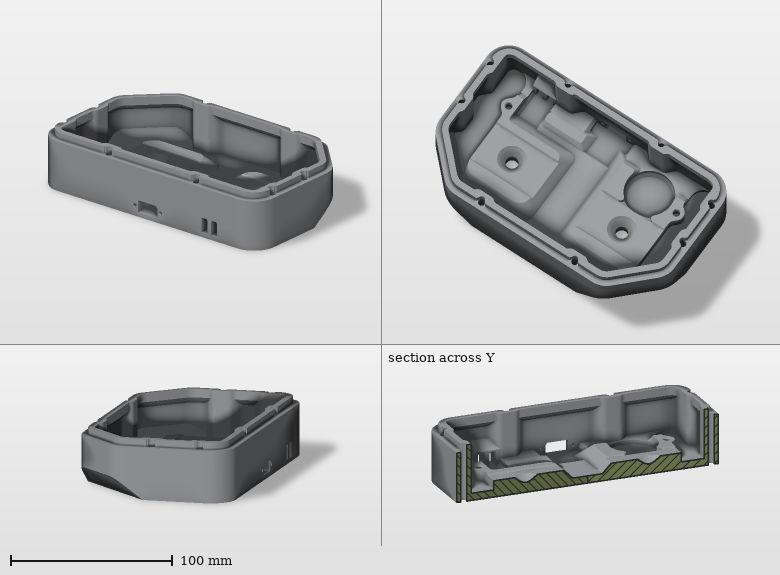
import cadquery as cq
import math

LENGTH = 176.0
WIDTH = 104.0
HEIGHT = 37.4
LIP_HEIGHT = 4.4
LEDGE_Z = HEIGHT - LIP_HEIGHT
CORNER_CUT = 30.0
CORNER_RADIUS = 16.0
WALL = 4.0
LIP_INSET = 2 * WALL
LIP_FACE_Z = 32.0
BEVEL = 13.3

LOW_Z = 3.0
FLOOR_Z = 5.0
SHELF_Z = 7.8
BLOCK_Z = 8.0
RECESS_Z = 11.0
PAD_Z = 12.0

SCREW_DIAMETER = 4.4
SCREW_INSET = 5.0
SCREW_X = 35.0
SCREW_SIDE_Y = (-1.0, -32.0)
BOSS_INSET = 10.0
BOSS_HALF_WIDTH = 5.5
BOSS_RADIUS = 4.0
LIP_BOSS_ROOT_RADIUS = 2.7
SIDE_CORNER_RADIUS = 4.5
NOTCH_RADIUS = 1.0

PAD_INNER_X = 17.0
PAD_OUTER_X = 63.0
PAD_REAR_Y = 28.0
PAD_FRONT_Y = -32.0
SHORT_PAD_FRONT_Y = -15.0
PAD_REAR_INNER_RADIUS = 12.0
PAD_CORNER_RADIUS = 8.0
EDGE_RADIUS = 2.0
RECESS_REAR_Y = 19.0
RECESS_FRONT_Y = -9.0
SHELF_REAR_Y = PAD_FRONT_Y - (PAD_Z - SHELF_Z)
SHELF_WALL_RADIUS = 9.0

MOUNT_X = 41.25
MOUNT_Y = 5.0
MOUNT_DIAMETER = 8.0
MOUNT_SINK_DIAMETER = 18.3

INSERT_X = PAD_OUTER_X
INSERT_Y = -23.0
INSERT_BOSS_RADIUS = 5.0
INSERT_DIAMETER = 4.4
INSERT_SINK_DIAMETER = 5.4
INSERT_DEPTH = 6.0

ROUND_Y = -25.0
ROUND_DIAMETER = 32.0

CHANNEL_HALF_WIDTH = 14.0
CHANNEL_CHAMFER = 2.0
CHANNEL_REAR_Y = -28.0
CONNECTOR_WIDTH = 15.5
CONNECTOR_HEIGHT = 8.0
CONNECTOR_CHAMFER = 1.3
CONNECTOR_SCREW_DIAMETER = 2.6
CONNECTOR_SCREW_X = 10.2
BLOCK_INNER_X = 13.0
BLOCK_REAR_Y = -29.0
BLOCK_FRONT_Y = -36.0

SOCKET_X = (41.0, 58.0)
SOCKET_FRONT_Y = -42.0
SLOT_WIDTH = 5.0
SLOT_X = (45.5, 53.2)
SLOT_TOP_Z = 13.0
SLOT_CHAMFER = 1.0
LINTEL_Z = 14.0

HALF_L = LENGTH / 2
HALF_W = WIDTH / 2
FRONT_WALL_Y = -HALF_W + WALL


REAR_INNER_EDGE = (-1, 1, -1)
REAR_OUTER_EDGE = (0, 1, -1)
FRONT_INNER_EDGE = (1, 1, 1)
FRONT_OUTER_EDGE = (0, 1, 1)


def outline(inset, z):
    """Sketch of the housing outline moved inward by inset, at height z."""
    x = HALF_L - inset
    y = HALF_W - inset
    cut = CORNER_CUT - inset * (2 - math.sqrt(2))
    points = [(-x, -y), (x, -y), (x, y - cut), (x - cut, y), (-x + cut, y), (-x, y - cut), (-x, -y)]
    sketch = cq.Sketch().polygon(points).vertices().fillet(CORNER_RADIUS - inset)
    return cq.Workplane("XY").workplane(offset=z).placeSketch(sketch)


def prism_x(points, x0, x1):
    """Y-Z profile carried from x0 to x1."""
    return cq.Workplane("YZ").workplane(offset=x0).polyline(points).close().extrude(x1 - x0)


def prism_y(points, y0, y1):
    """X-Z profile carried from y0 to y1."""
    return cq.Workplane("XZ").workplane(offset=-y1).polyline(points).close().extrude(y1 - y0)


def box(x0, x1, y0, y1, z0, z1):
    return cq.Workplane("XY").box(x1 - x0, y1 - y0, z1 - z0, centered=False).translate((x0, y0, z0))


def cylinder(x, y, z0, z1, diameter):
    return cq.Workplane("XY").workplane(offset=z0).center(x, y).circle(diameter / 2).extrude(z1 - z0)


def cone(x, y, z0, d0, z1, d1):
    solid = cq.Solid.makeCone(d0 / 2, d1 / 2, z1 - z0, cq.Vector(x, y, z0))
    return cq.Workplane("XY").add(solid)


def box_selector(x0, x1, y0, y1):
    """Picks the edges with their middle in this range of X and Y."""
    slack = 0.1
    return cq.selectors.BoxSelector(
        (x0 - slack, y0 - slack, -HEIGHT), (x1 + slack, y1 + slack, 2 * HEIGHT)
    )


def mirrored(shape):
    return shape.mirror("YZ")


def oblique(shape, direction, radius):
    """Round the edges that run along direction."""
    return shape.edges(cq.selectors.ParallelDirSelector(cq.Vector(*direction))).fillet(radius)


def corner_wedge(start):
    """Everything under both 45 degree planes that rise outward toward the rear corners.

    start is how far from the middle a plane leaves z = 0, along the diagonal.
    """
    plane = cq.Plane(origin=(0, 0, 0), xDir=(-1, 1, 0), normal=(1, 1, 0))
    wedge = (
        cq.Workplane(plane).polyline([(start, 0), (start + WIDTH, WIDTH), (start + WIDTH, 0)])
        .close().extrude(HALF_L, both=True)
    )
    return wedge.union(mirrored(wedge))


def round_corners(prism, corners, radius):
    """Round the upright edges of a prism at these (x, y) corners."""
    for x, y in corners:
        prism = prism.edges("|Z").edges(box_selector(x, x, y, y)).fillet(radius)
    return prism


def screw_boss(root_inset, root_radius, z0, corner=False):
    """Boss around a screw at the origin, standing toward +Y from a wall, with 45 degree flanks.

    A corner boss has one flank only and runs on toward +X into the front wall.
    """
    face_y = BOSS_INSET - SCREW_INSET
    root_y = root_inset - SCREW_INSET
    back_y = root_y - WALL / 2
    foot_x = BOSS_HALF_WIDTH + face_y - root_y
    end_x = foot_x + root_radius
    points = [(-end_x, back_y), (-end_x, root_y), (-foot_x, root_y), (-BOSS_HALF_WIDTH, face_y)]
    if corner:
        wall_x = HALF_W + SCREW_SIDE_Y[1] - root_inset
        wall_end_y = face_y + 2 * SIDE_CORNER_RADIUS
        buried_x = wall_x + WALL
        points += [(wall_x, face_y), (wall_x, wall_end_y), (buried_x, wall_end_y), (buried_x, back_y)]
    else:
        points += [(-x, y) for x, y in reversed(points)]
    boss = cq.Workplane("XY").workplane(offset=z0).polyline(points).close().extrude(HEIGHT - z0)
    if corner:
        boss = round_corners(boss, [(-BOSS_HALF_WIDTH, face_y)], BOSS_RADIUS)
        boss = round_corners(boss, [(wall_x, face_y)], SIDE_CORNER_RADIUS)
        return round_corners(boss, [(-foot_x, root_y)], root_radius)
    boss = round_corners(boss, [(-BOSS_HALF_WIDTH, face_y), (BOSS_HALF_WIDTH, face_y)], BOSS_RADIUS)
    return round_corners(boss, [(-foot_x, root_y), (foot_x, root_y)], root_radius)


def lip_notch():
    """Mouth of a screw hole through the outer face of the lip, with rounded edges."""
    bore = SCREW_DIAMETER / 2
    face_y = WALL - SCREW_INSET
    r = NOTCH_RADIUS
    centre_y = face_y + r
    centre_x = math.sqrt((bore + r) ** 2 - centre_y ** 2)
    share = bore / (bore + r)
    inner = (centre_x * share, centre_y * share)
    return (
        cq.Workplane("XY").workplane(offset=LEDGE_Z)
        .moveTo(-centre_x, face_y).lineTo(centre_x, face_y)
        .radiusArc(inner, -r).lineTo(-inner[0], inner[1])
        .radiusArc((-centre_x, face_y), -r).close().extrude(LIP_HEIGHT)
    )


def at_screws(shape, corner_shape):
    """Copies of a shape, turned and moved to the screw places of both halves."""
    rear_y = HALF_W - SCREW_INSET
    side_x = HALF_L - SCREW_INSET
    z_axis = ((0, 0, 0), (0, 0, 1))
    copies = [
        shape.rotate(*z_axis, 180).translate((-SCREW_X, rear_y, 0)),
        shape.translate((-SCREW_X, -rear_y, 0)),
        shape.rotate(*z_axis, -90).translate((-side_x, SCREW_SIDE_Y[0], 0)),
        corner_shape.rotate(*z_axis, -90).translate((-side_x, SCREW_SIDE_Y[1], 0)),
    ]
    return copies + [mirrored(copy) for copy in copies]


def build_shell():
    """Housing of both halves: walls, lip, floor and screw bosses."""
    body = outline(0, 0).extrude(LEDGE_Z)
    body = body.union(outline(WALL, 0).extrude(HEIGHT))
    corner_face = (HALF_L + HALF_W - CORNER_CUT) / math.sqrt(2)
    body = body.cut(corner_wedge(corner_face - BEVEL))
    overhang = LIP_INSET - WALL
    overhang_z = LIP_FACE_Z - overhang
    cavity = outline(WALL, FLOOR_Z).extrude(overhang_z - FLOOR_Z)
    cavity = cavity.union(outline(WALL, overhang_z).extrude(overhang, taper=45))
    cavity = cavity.union(outline(LIP_INSET, LIP_FACE_Z).extrude(HEIGHT - LIP_FACE_Z))
    cavity = cavity.cut(corner_wedge(corner_face - BEVEL - WALL * math.sqrt(2)))
    bosses = at_screws(screw_boss(WALL, BOSS_RADIUS, 0), screw_boss(WALL, BOSS_RADIUS, 0, True))
    bosses += at_screws(
        screw_boss(LIP_INSET, LIP_BOSS_ROOT_RADIUS, LIP_FACE_Z),
        screw_boss(LIP_INSET, LIP_BOSS_ROOT_RADIUS, LIP_FACE_Z, True),
    )
    for boss in bosses:
        cavity = cavity.cut(boss)
    return body.cut(cavity)


def cut_screw_holes(half):
    hole = cylinder(0, 0, 0, HEIGHT, SCREW_DIAMETER).union(lip_notch())
    for copy in at_screws(hole, hole):
        half = half.cut(copy)
    return half


def sloped_block(inner_x, outer_x, rear_y, front_y, top_z):
    """Block with 45 degree slopes to the middle, rear and front, and an upright outer side."""
    fall = top_z - LOW_Z
    across = prism_y(
        [(inner_x - fall, LOW_Z), (inner_x, top_z), (outer_x, top_z), (outer_x, LOW_Z)], -WIDTH, WIDTH
    )
    along = prism_x(
        [(front_y - fall, LOW_Z), (front_y, top_z), (rear_y, top_z), (rear_y + fall, LOW_Z)], 0, LENGTH
    )
    return across.intersect(along)


def pad(front_y, front_radius):
    """Main pad of one half, sloped on three sides, with its slope edges rounded."""
    block = sloped_block(PAD_INNER_X, PAD_OUTER_X, PAD_REAR_Y, front_y, PAD_Z)
    block = oblique(block, REAR_INNER_EDGE, PAD_REAR_INNER_RADIUS)
    block = oblique(block, REAR_OUTER_EDGE, PAD_CORNER_RADIUS)
    return oblique(block, FRONT_INNER_EDGE, front_radius)


def pad_leg():
    """Outer strip of the pad that carries the insert boss down to the shelf."""
    block = box(SOCKET_X[1] - EDGE_RADIUS, PAD_OUTER_X, SHELF_REAR_Y, 0, LOW_Z, PAD_Z)
    slope = PAD_Z - SHELF_Z
    block = block.edges(">Z and <Y").chamfer(slope)
    return oblique(block, FRONT_OUTER_EDGE, EDGE_RADIUS)


def insert_boss():
    """Round boss that flows into the outer side of the pad along 45 degree flanks."""
    r = INSERT_BOSS_RADIUS
    flank = r / math.sqrt(2)
    corner = r * math.sqrt(2)
    tangent = r * math.tan(math.pi / 8)
    end = corner + tangent
    blend = tangent / math.sqrt(2)
    mid_x = r * (1 - math.cos(math.pi / 8))
    mid_y = end - r * math.sin(math.pi / 8)
    return (
        cq.Workplane("XY").workplane(offset=LOW_Z).center(INSERT_X, INSERT_Y)
        .moveTo(-EDGE_RADIUS, -end).lineTo(0, -end)
        .threePointArc((mid_x, -mid_y), (blend, blend - corner)).lineTo(flank, -flank)
        .threePointArc((r, 0), (flank, flank)).lineTo(blend, corner - blend)
        .threePointArc((mid_x, mid_y), (0, end)).lineTo(-EDGE_RADIUS, end)
        .close().extrude(PAD_Z - LOW_Z)
    )


def shelf():
    """Low shelf along the front wall, blended into the wall at its outer end."""
    r = SHELF_WALL_RADIUS
    root_y = FRONT_WALL_Y - WALL / 2
    block = (
        cq.Workplane("XY").workplane(offset=LOW_Z)
        .moveTo(CHANNEL_HALF_WIDTH, root_y).lineTo(PAD_OUTER_X + r, root_y)
        .lineTo(PAD_OUTER_X + r, FRONT_WALL_Y)
        .radiusArc((PAD_OUTER_X, FRONT_WALL_Y + r), r)
        .lineTo(PAD_OUTER_X, SHELF_REAR_Y).lineTo(CHANNEL_HALF_WIDTH, SHELF_REAR_Y)
        .close().extrude(SHELF_Z - LOW_Z)
    )
    return block.edges(">Z and <X").chamfer(CHANNEL_CHAMFER)


def recess():
    """Shallow seat across the pad."""
    step = PAD_Z - RECESS_Z
    return prism_x(
        [(RECESS_FRONT_Y, RECESS_Z), (RECESS_REAR_Y, RECESS_Z),
         (RECESS_REAR_Y + step, PAD_Z), (RECESS_FRONT_Y - step, PAD_Z)], 0, PAD_OUTER_X,
    )


def mount_hole():
    sink = (MOUNT_SINK_DIAMETER - MOUNT_DIAMETER) / 2
    hole = cylinder(MOUNT_X, MOUNT_Y, 0, PAD_Z, MOUNT_DIAMETER)
    countersink = cone(MOUNT_X, MOUNT_Y, RECESS_Z - sink, MOUNT_DIAMETER, RECESS_Z, MOUNT_SINK_DIAMETER)
    return hole.union(countersink)


def insert_hole():
    sink = (INSERT_SINK_DIAMETER - INSERT_DIAMETER) / 2
    hole = cylinder(INSERT_X, INSERT_Y, PAD_Z - INSERT_DEPTH, PAD_Z, INSERT_DIAMETER)
    countersink = cone(INSERT_X, INSERT_Y, PAD_Z - sink, INSERT_DIAMETER, PAD_Z, INSERT_SINK_DIAMETER)
    return hole.union(countersink)


def pad_rim_relief():
    """Rounds off the thin points between round pocket and recess, falling at 45 degrees to the pocket."""
    rim = ROUND_DIAMETER / 2
    line_y = RECESS_FRONT_Y - (PAD_Z - RECESS_Z)
    top_y = line_y - ROUND_Y
    back_y = RECESS_FRONT_Y - ROUND_Y
    reach = rim + EDGE_RADIUS
    centre_y = top_y - EDGE_RADIUS
    centre_x = math.sqrt(reach ** 2 - centre_y ** 2)
    rim_x = centre_x * rim / reach
    rim_y = centre_y * rim / reach
    outline_prism = (
        cq.Workplane("XY").workplane(offset=FLOOR_Z).center(MOUNT_X, ROUND_Y)
        .moveTo(-rim_x, rim_y).lineTo(rim_x, rim_y)
        .radiusArc((centre_x, top_y), EDGE_RADIUS)
        .lineTo(centre_x, back_y).lineTo(-centre_x, back_y).lineTo(-centre_x, top_y)
        .radiusArc((-rim_x, rim_y), EDGE_RADIUS).close().extrude(PAD_Z - FLOOR_Z)
    )
    fall = RECESS_Z - FLOOR_Z
    above_slope = prism_x(
        [(RECESS_FRONT_Y, PAD_Z), (RECESS_FRONT_Y, RECESS_Z),
         (RECESS_FRONT_Y - fall, FLOOR_Z), (RECESS_FRONT_Y - fall, PAD_Z)], 0, HALF_L,
    )
    return outline_prism.intersect(above_slope)


def round_channel_corner(block):
    """Blend the channel side into the front slope of the pad or block."""
    near = box_selector(CHANNEL_HALF_WIDTH, CHANNEL_HALF_WIDTH, -HALF_W, 0)
    slanted = cq.selectors.ParallelDirSelector(cq.Vector(*FRONT_OUTER_EDGE))
    return block.edges(slanted).edges(near).fillet(EDGE_RADIUS)


def round_slope_rim(block):
    """Round the two edges where the round pocket cuts the front slope of the pad."""
    rim = ROUND_DIAMETER / 2
    near = box_selector(MOUNT_X - rim, MOUNT_X + rim, SHELF_REAR_Y, PAD_FRONT_Y)
    return block.edges("%ELLIPSE").edges(near).fillet(EDGE_RADIUS)


def round_pocket():
    fall = FLOOR_Z - LOW_Z
    pocket = cylinder(MOUNT_X, ROUND_Y, FLOOR_Z, PAD_Z, ROUND_DIAMETER)
    return pocket.union(
        cone(MOUNT_X, ROUND_Y, LOW_Z, ROUND_DIAMETER - 2 * fall, FLOOR_Z, ROUND_DIAMETER)
    )


def channel():
    """Deepened floor behind the connector, with a 45 degree rear end."""
    fall = FLOOR_Z - LOW_Z
    return prism_x(
        [(FRONT_WALL_Y, LOW_Z), (CHANNEL_REAR_Y, LOW_Z),
         (CHANNEL_REAR_Y + fall, FLOOR_Z), (FRONT_WALL_Y, FLOOR_Z)],
        -CHANNEL_HALF_WIDTH, CHANNEL_HALF_WIDTH,
    )


def connector_block():
    """Low block beside the channel, sloped on three sides."""
    block = sloped_block(BLOCK_INNER_X, SOCKET_X[0], BLOCK_REAR_Y, BLOCK_FRONT_Y, BLOCK_Z)
    for direction in (REAR_INNER_EDGE, FRONT_INNER_EDGE, REAR_OUTER_EDGE, FRONT_OUTER_EDGE):
        block = oblique(block, direction, EDGE_RADIUS)
    return block


def socket_pocket():
    """Pocket behind the slots: sloped rear end, 45 degree foot on both sides."""
    fall = FLOOR_Z - LOW_Z
    x0, x1 = SOCKET_X
    across = prism_y(
        [(x0 + fall, LOW_Z), (x1 - fall, LOW_Z), (x1, FLOOR_Z), (x1, PAD_Z), (x0, PAD_Z), (x0, FLOOR_Z)],
        -HALF_W, HALF_W,
    )
    rise = PAD_Z - LOW_Z
    along = prism_x(
        [(SOCKET_FRONT_Y, LOW_Z), (SHORT_PAD_FRONT_Y - rise, LOW_Z),
         (SHORT_PAD_FRONT_Y, PAD_Z), (SOCKET_FRONT_Y, PAD_Z)],
        0, HALF_L,
    )
    pocket = across.intersect(along)
    slanted = cq.selectors.ParallelDirSelector(cq.Vector(*FRONT_OUTER_EDGE))
    return pocket.edges(">X").edges(slanted).fillet(EDGE_RADIUS)


def lintel():
    """Thick wall piece around the slots, with a 45 degree top."""
    rise = SOCKET_FRONT_Y - FRONT_WALL_Y
    return prism_x(
        [(FRONT_WALL_Y, LOW_Z), (SOCKET_FRONT_Y, LOW_Z), (SOCKET_FRONT_Y, LINTEL_Z),
         (FRONT_WALL_Y, LINTEL_Z + rise)],
        *SOCKET_X,
    )


def slots():
    cut = cq.Workplane("XY")
    for x in SLOT_X:
        slot = box(x - SLOT_WIDTH / 2, x + SLOT_WIDTH / 2, -HALF_W, SOCKET_FRONT_Y, LOW_Z, SLOT_TOP_Z)
        cut = cut.union(slot.edges("|Y and >Z").chamfer(SLOT_CHAMFER))
    return cut


def connector_opening():
    """Connector window, chamfered on the right only, with a screw hole at each end."""
    half = CONNECTOR_WIDTH / 2
    opening = box(-half, half, -HALF_W, FRONT_WALL_Y, LOW_Z, LOW_Z + CONNECTOR_HEIGHT)
    opening = opening.edges("|Y and >X").chamfer(CONNECTOR_CHAMFER)
    z = LOW_Z + CONNECTOR_HEIGHT / 2
    holes = (
        cq.Workplane("XZ").workplane(offset=-FRONT_WALL_Y)
        .pushPoints([(-CONNECTOR_SCREW_X, z), (CONNECTOR_SCREW_X, z)])
        .circle(CONNECTOR_SCREW_DIAMETER / 2).extrude(WALL)
    )
    return opening.union(holes)


def half_space(sign):
    """Everything on one side of the joint at X = 0."""
    x0, x1 = sorted((0, sign * LENGTH))
    return box(x0, x1, -WIDTH, WIDTH, -HEIGHT, 2 * HEIGHT)


shell = build_shell().cut(channel())


def build_left():
    block = oblique(pad(PAD_FRONT_Y, EDGE_RADIUS), FRONT_OUTER_EDGE, EDGE_RADIUS)
    block = round_channel_corner(block.union(shelf()))
    block = block.cut(cylinder(MOUNT_X, ROUND_Y, LOW_Z, PAD_Z, ROUND_DIAMETER))
    block = round_slope_rim(block)
    block = block.cut(recess()).cut(pad_rim_relief()).union(insert_boss())
    half = shell.intersect(half_space(-1)).union(mirrored(block))
    for cut in (mount_hole(), insert_hole(), round_pocket()):
        half = half.cut(mirrored(cut))
    return cut_screw_holes(half.cut(connector_opening()))


def build_right():
    block = round_channel_corner(shelf().union(connector_block()))
    block = block.union(pad(SHORT_PAD_FRONT_Y, PAD_CORNER_RADIUS)).union(pad_leg())
    block = block.union(insert_boss()).cut(recess())
    half = shell.intersect(half_space(1)).union(block)
    half = half.cut(socket_pocket()).union(lintel())
    for cut in (mount_hole(), insert_hole(), slots(), connector_opening()):
        half = half.cut(cut)
    return cut_screw_holes(half)


left_half = build_left()
right_half = build_right()
result = cq.Compound.makeCompound([left_half.val(), right_half.val()])